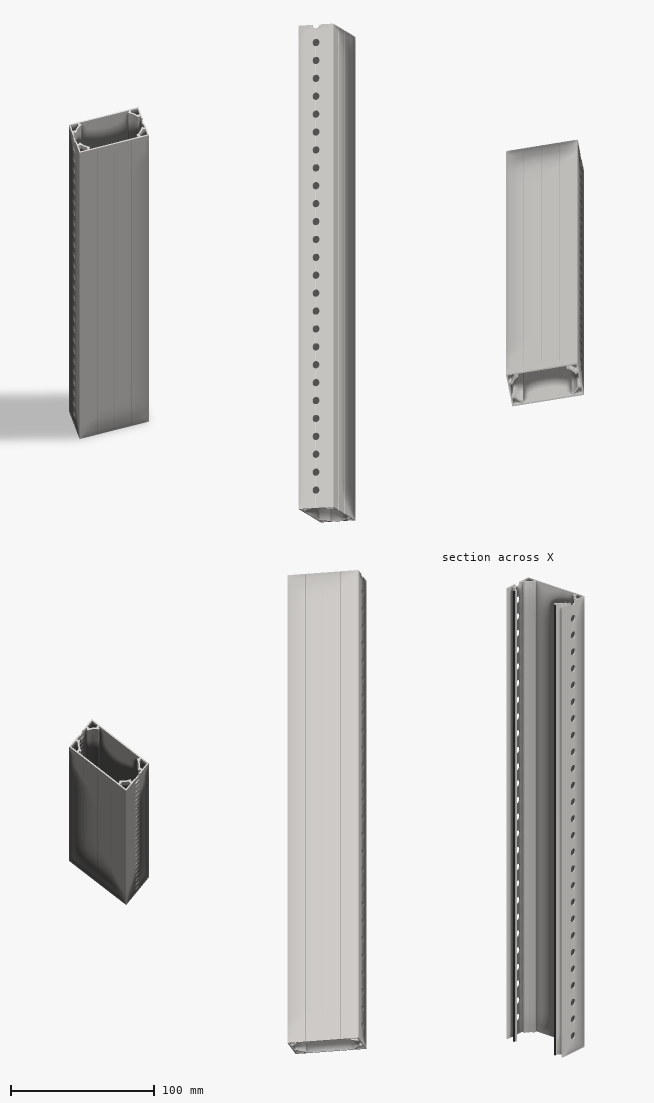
import cadquery as cq

LENGTH = 342.8
WIDTH = 25.5
DEPTH = 2 * WIDTH
WALL = 0.95

GUSSET_INNER_RADIUS = 10.5
GUSSET_THICKNESS = 1.0
GUSSET_START = 4.5
FOOT_START = 5.0
FOOT_END = 6.5

HOLE_DIAMETER = 5.0
HOLE_COUNT = 27
HOLE_PITCH = LENGTH / HOLE_COUNT

SCRIBE_WIDTH = 0.5
SCRIBE_DEPTH = 0.27
SCRIBE_SPACING = DEPTH / 4

GUSSET_OUTER_RADIUS = GUSSET_INNER_RADIUS + GUSSET_THICKNESS
ARC_CENTRE_Y = (DEPTH - WIDTH) / 2


def make_box(x_start, x_end, y_start, y_end):
    """Full-length bar between the given X and Y limits."""
    return (
        cq.Workplane("XY")
        .center((x_start + x_end) / 2, (y_start + y_end) / 2)
        .rect(x_end - x_start, y_end - y_start)
        .extrude(LENGTH)
    )


def make_shell():
    return (
        cq.Workplane("XY")
        .rect(WIDTH, DEPTH)
        .rect(WIDTH - 2 * WALL, DEPTH - 2 * WALL)
        .extrude(LENGTH)
    )


def make_gusset():
    """Arc and its two feet for the +X +Y corner, with the arc's axis at the centre of that end."""
    wall_middle = (WIDTH - WALL) / 2
    disc = cq.Workplane("XY").circle(GUSSET_OUTER_RADIUS).extrude(LENGTH)
    bore = cq.Workplane("XY").circle(GUSSET_INNER_RADIUS).extrude(LENGTH)
    arc = disc.intersect(make_box(GUSSET_START, wall_middle, GUSSET_START, wall_middle))
    side_foot = make_box(FOOT_END, wall_middle, FOOT_START, FOOT_END)
    end_foot = make_box(FOOT_START, FOOT_END, FOOT_END, wall_middle)
    return arc.union(side_foot).union(end_foot).cut(bore).translate((0, ARC_CENTRE_Y, 0))


def make_holes():
    centres = [(0, i * HOLE_PITCH) for i in range(1, HOLE_COUNT + 1)]
    return (
        cq.Workplane("XZ")
        .pushPoints(centres)
        .circle(HOLE_DIAMETER / 2)
        .extrude(DEPTH / 2, both=True)
    )


def make_scribe(offset, face_distance, turn):
    """V groove in a face at -Y, shifted sideways by the offset, then turned about Z to its own face."""
    half_width = SCRIBE_WIDTH / 2
    return (
        cq.Workplane("XY")
        .moveTo(offset - half_width, -face_distance)
        .lineTo(offset + half_width, -face_distance)
        .lineTo(offset, -face_distance + SCRIBE_DEPTH)
        .close()
        .extrude(LENGTH)
        .rotate((0, 0, 0), (0, 0, 1), turn)
    )


gusset_pair = make_gusset()
gusset_pair = gusset_pair.union(gusset_pair.mirror("YZ"))

result = make_shell().union(gusset_pair).union(gusset_pair.mirror("XZ"))
result = result.cut(make_holes())

for turn in (0, 180):
    result = result.cut(make_scribe(0, DEPTH / 2, turn))
for turn in (90, -90):
    for step in (-1, 0, 1):
        result = result.cut(make_scribe(step * SCRIBE_SPACING, WIDTH / 2, turn))